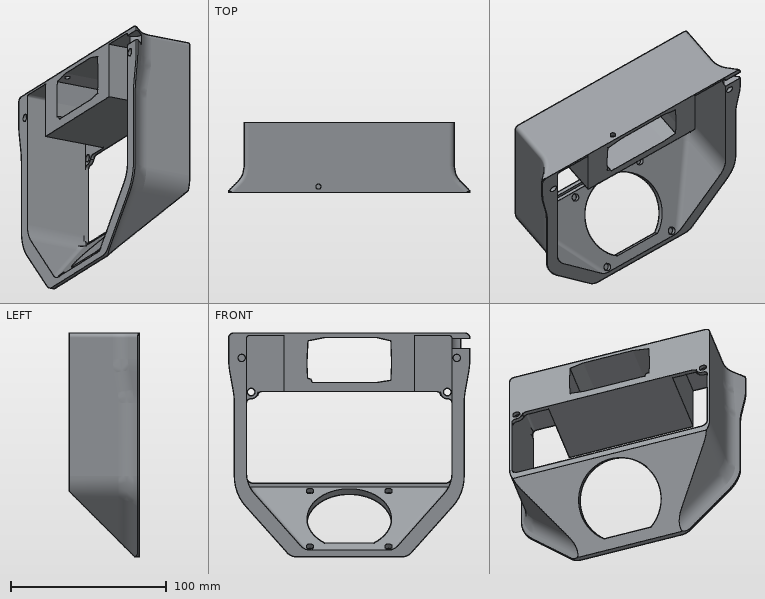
import cadquery as cq
import math


depth = 45.0
height = 143.7
rim_top_half_width = 77.4
rim_half_width = 73.8
body_half_width = 67.5
wall = 1.7
inner_half_width = body_half_width - wall
inner_top = height - wall

rim_bottom_half_width = 37.4
rim_slope_top = 40.7
rim_shoulder_radius = 28.7
rim_bottom_radius = 8.4
bulge_top = 122.7
bulge_bottom = 102.7
bulge_radius = 45.0
lip_thickness = 1.2
flare_angle = 45.0
flare_run = 10.5
flare_radius = 13.6
top_corner_radius = 3.2

bevel_start = 2.8
floor_front_height = 4.5
floor_fillet = 4.0

cavity_slope_top = 46.2
cavity_bottom_half_width = 28.8
cavity_shoulder_radius = 19.0
cavity_top_radius = 1.5
panel_thickness = 2.4
panel_front = depth - panel_thickness
ledge_height = 45.0
opening_bottom = 47.4
opening_corner_radius = 4.0
panel_bottom = 106.1

block_half_width = 41.8
window_points = [
    (-26.4, 138.6),
    (-15.7, 140.7),
    (17.6, 140.7),
    (26.6, 138.6),
    (27.1, 124.0),
    (26.6, 113.4),
    (17.6, 112.0),
    (-23.7, 112.0),
    (-24.6, 114.2),
    (-26.6, 114.6),
    (-27.1, 124.0),
]

screw_diameter = 4.7
ear_x = 62.9
ear_z = 105.8
ear_radius = 4.4
ear_blend_radius = 2.5
ear_inner_x = 57.0
rim_hole_x = 69.0
rim_hole_z = 127.7
rim_hole_depth = 6.0
top_hole_diameter = 3.3
top_hole_x = -19.8
top_hole_y = 3.8
top_hole_depth = 6.0

port_radius = 27.1
port_flat_distance = 22.0
port_height = 24.6
port_screw_pitch = 50.4
port_screw_depth = 4.0
port_cut_depth = 10.0

notch_bottom = 133.8
notch_top = 140.0
notch_depth = 7.0
notch_corner_radius = 5.0

clearance = 20.0
overlap = 1.0
full_x = rim_top_half_width + clearance


def rounded_outline(plane, corners):
    """Closed wire through (x, z, radius) corners, each rounded by a tangent arc."""
    count = len(corners)
    arcs = []
    for i in range(count):
        x, z, radius = corners[i]
        corner = cq.Vector(x, z)
        to_last = (cq.Vector(*corners[i - 1][:2]) - corner).normalized()
        to_next = (cq.Vector(*corners[(i + 1) % count][:2]) - corner).normalized()
        half_angle = to_last.getAngle(to_next) / 2
        tangent_length = radius / math.tan(half_angle)
        bisector = (to_last + to_next).normalized()
        middle = corner + bisector * (radius / math.sin(half_angle) - radius)
        arcs.append((corner + to_last * tangent_length, middle, corner + to_next * tangent_length))
    path = cq.Workplane(plane).moveTo(*arcs[0][2].toTuple()[:2])
    for (start, middle, end), corner in zip(arcs[1:] + arcs[:1], corners[1:] + corners[:1]):
        path = path.lineTo(*start.toTuple()[:2])
        if corner[2] > 0:
            path = path.threePointArc(middle.toTuple()[:2], end.toTuple()[:2])
    return path.close()


def mirrored(right_side):
    """Full corner list from its +X half, listed from top to bottom."""
    return right_side + [(-x, z, radius) for x, z, radius in reversed(right_side)]


def plane_at(y):
    """Plane facing the back of the hood at depth y; only for outlines symmetric in X."""
    return cq.Plane(origin=(0, y, 0), xDir=(-1, 0, 0), normal=(0, 1, 0))


def box(x_range, y_range, z_range):
    """Axis-aligned box from (low, high) pairs."""
    sizes = [high - low for low, high in (x_range, y_range, z_range)]
    corner = (x_range[0], y_range[0], z_range[0])
    return cq.Workplane("XY").box(*sizes, centered=False).translate(corner)


def above_bevel(floor_offset):
    """Everything above the 45 degree plane z = y + floor_offset."""
    far = depth + clearance
    return (
        cq.Workplane("YZ")
        .polyline([
            (-clearance, floor_offset - clearance),
            (far, floor_offset + far),
            (far, height + clearance),
            (-clearance, height + clearance),
        ])
        .close()
        .extrude(full_x, both=True)
    )


def top_corner_waste():
    """Waste outside the rounded +X top corner, swept along the flare profile."""
    turn = math.radians(flare_angle)
    arc_end_y = lip_thickness + rim_top_half_width - body_half_width
    arc_end_y += flare_radius * math.tan(turn / 2)
    arc_start = (
        body_half_width + flare_radius * (1 - math.cos(turn)),
        arc_end_y - flare_radius * math.sin(turn),
    )
    arc_middle = (
        body_half_width + flare_radius * (1 - math.cos(turn / 2)),
        arc_end_y - flare_radius * math.sin(turn / 2),
    )
    run = arc_start[1] + clearance / 2
    start = (arc_start[0] + run, arc_start[1] - run)
    path = (
        cq.Workplane("XY", origin=(0, 0, height))
        .moveTo(*start)
        .lineTo(*arc_start)
        .threePointArc(arc_middle, (body_half_width, arc_end_y))
        .lineTo(body_half_width, depth + overlap)
    )
    section = cq.Plane(origin=(*start, height), xDir=(-1, -1, 0), normal=(-1, 1, 0))
    radius = top_corner_radius
    mid = radius * (1 - math.sqrt(0.5))
    return (
        cq.Workplane(section)
        .moveTo(-overlap, -radius)
        .lineTo(0, -radius)
        .threePointArc((mid, -mid), (radius, 0))
        .lineTo(radius, overlap)
        .lineTo(-overlap, overlap)
        .close()
        .sweep(path)
    )


def outer_shell():
    """Body with the flared rim, bevelled below and rounded at the two top corners."""
    slope = rim_slope_top / (rim_half_width - rim_bottom_half_width)
    top = height + clearance
    low = -clearance
    rim_inset = rim_half_width - body_half_width
    rim_low_half_width = rim_bottom_half_width + low / slope
    body_low_half_width = rim_low_half_width - rim_inset * math.sqrt(1 + 1 / slope**2)
    body_slope_top = low + (body_half_width - body_low_half_width) * slope

    rim_side = [
        (rim_top_half_width, bulge_top, bulge_radius),
        (rim_half_width, bulge_bottom, bulge_radius),
        (rim_half_width, rim_slope_top, rim_shoulder_radius),
    ]
    long_rim = mirrored(
        [(rim_top_half_width, top, 0)] + rim_side + [(rim_low_half_width, low, 0)]
    )
    front_outline = mirrored(
        [(rim_top_half_width, height, top_corner_radius)]
        + rim_side
        + [(rim_bottom_half_width, 0, rim_bottom_radius)]
    )
    long_body = mirrored([
        (body_half_width, top, 0),
        (body_half_width, body_slope_top, rim_shoulder_radius - rim_inset),
        (body_low_half_width, low, 0),
    ])
    lip = rounded_outline(plane_at(0), long_rim).extrude(lip_thickness)
    flare = rounded_outline(plane_at(lip_thickness), long_rim).extrude(flare_run, taper=flare_angle)
    shell = rounded_outline(plane_at(0), long_body).extrude(depth).union(lip).union(flare)

    flare_root = cq.selectors.BoxSelector(
        (-body_half_width - overlap, lip_thickness + rim_inset - overlap, 0),
        (body_half_width + overlap, lip_thickness + flare_run, height),
    )
    shell = shell.edges(flare_root).fillet(flare_radius)
    shell = shell.intersect(box((-full_x, full_x), (0, depth), (0, height)))
    shell = shell.intersect(above_bevel(-bevel_start))
    shell = shell.intersect(rounded_outline(plane_at(0), front_outline).extrude(depth))
    corner = top_corner_waste()
    return shell.cut(corner).cut(corner.mirror("YZ"))


def cavity():
    """Inner space: above a sloping floor with rounded sides, then above a level ledge."""
    slope = (cavity_slope_top - floor_front_height) / (inner_half_width - cavity_bottom_half_width)
    low = -clearance
    low_half_width = cavity_bottom_half_width - (floor_front_height - low) / slope
    outline = mirrored([
        (inner_half_width, inner_top, cavity_top_radius),
        (inner_half_width, cavity_slope_top, cavity_shoulder_radius),
        (low_half_width, low, 0),
    ])
    above_floor = (
        rounded_outline(plane_at(-clearance / 2), outline)
        .extrude(depth + clearance)
        .intersect(above_bevel(floor_front_height))
    )
    floor = cq.selectors.ParallelDirSelector(cq.Vector(0, 1, -1))
    above_floor = above_floor.faces(floor).edges("not |X").fillet(floor_fillet)
    ledge = box((-full_x, full_x), (0, depth), (ledge_height, height))
    above_ledge = rounded_outline(plane_at(0), outline).extrude(depth).intersect(ledge)
    reach = box((-full_x, full_x), (0, panel_front), (0, height))
    return above_floor.union(above_ledge).intersect(reach)


def back_opening():
    """Opening through the back between the ledge and the panel."""
    outline = mirrored([
        (inner_half_width, panel_bottom, 0),
        (inner_half_width, opening_bottom, opening_corner_radius),
    ])
    return rounded_outline(plane_at(panel_front - overlap), outline).extrude(panel_thickness + 2 * overlap)


def window_block():
    """Block joining the back panel to the front plane, carrying the window."""
    return box((-block_half_width, block_half_width), (0, depth), (panel_bottom, height - wall / 2))


def window():
    return cq.Workplane("XZ").polyline(window_points).close().extrude(-depth)


def ear():
    """Screw ear on the -X side, blended into the back panel and the side wall."""
    bottom = ear_z - ear_radius
    wall_end = bottom - 2 * ear_blend_radius
    outside = inner_half_width + wall / 2
    above = panel_bottom + wall
    outline = rounded_outline(plane_at(panel_front), [
        (outside, above, 0),
        (ear_inner_x, above, 0),
        (ear_inner_x, panel_bottom, 0),
        (ear_x - ear_radius, panel_bottom, ear_blend_radius),
        (ear_x - ear_radius, bottom, ear_radius),
        (inner_half_width, bottom, ear_blend_radius),
        (inner_half_width, wall_end, 0),
        (outside, wall_end, 0),
    ])
    return outline.extrude(panel_thickness)


def screw_hole(x, z, y_start, length):
    """Hole along Y, starting at y_start and running back."""
    return cq.Workplane("XZ", origin=(x, y_start, z)).circle(screw_diameter / 2).extrude(-length)


def port_cuts():
    """Round opening with a flat lower edge and four blind screw holes, square to the bevel."""
    center_y = port_height - floor_front_height
    floor = cq.Plane(origin=(0, center_y, port_height), xDir=(1, 0, 0), normal=(0, -1, 1))
    opening = cq.Workplane(floor).circle(port_radius).extrude(-port_cut_depth)
    keep = (
        cq.Workplane(floor)
        .center(0, -port_flat_distance - port_radius)
        .rect(2 * port_radius, 2 * port_radius)
        .extrude(-port_cut_depth)
    )
    screws = (
        cq.Workplane(floor)
        .rect(port_screw_pitch, port_screw_pitch, forConstruction=True)
        .vertices()
        .circle(screw_diameter / 2)
        .extrude(-port_screw_depth)
    )
    return opening.cut(keep).union(screws)


def notch():
    """Slot across the rim and flare near the top of the +X side."""
    cutter = box((inner_half_width, full_x), (0, notch_depth), (notch_bottom, notch_top))
    return cutter.edges("|Z and <X and >Y").fillet(notch_corner_radius)


def top_hole():
    start = cq.Workplane("XY", origin=(top_hole_x, top_hole_y, height))
    return start.circle(top_hole_diameter / 2).extrude(-top_hole_depth)


result = outer_shell().cut(cavity()).cut(back_opening())
result = result.union(window_block()).cut(window())
result = result.union(ear()).union(ear().mirror("YZ"))
for side in (-1, 1):
    ear_hole = screw_hole(side * ear_x, ear_z, panel_front - overlap, panel_thickness + 2 * overlap)
    rim_hole = screw_hole(side * rim_hole_x, rim_hole_z, 0, rim_hole_depth)
    result = result.cut(ear_hole).cut(rim_hole)
result = result.cut(port_cuts()).cut(notch()).cut(top_hole())